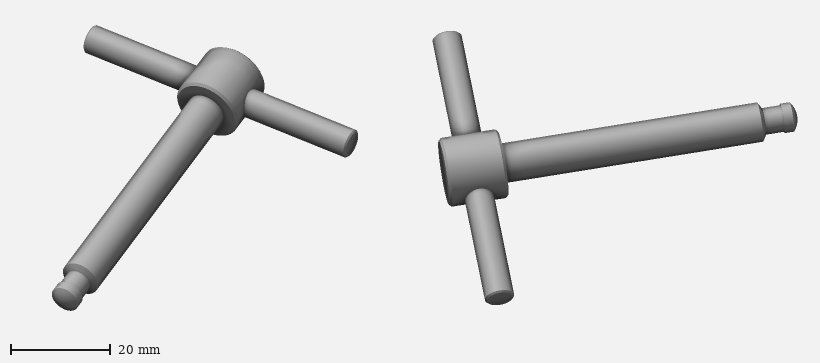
import cadquery as cq

total_length = 72.0
head_diameter = 14.0
head_length = 12.0
head_chamfer = 0.5
shaft_diameter = 8.0
neck_diameter = 5.4
neck_length = 3.75
shaft_end_taper = 0.8
collar_diameter = 6.0
collar_length = 1.95
dome_height = 1.1

handle_length = 60.0
handle_diameter = 6.0
handle_chamfer = 0.35

collar_front = dome_height
collar_back = collar_front + collar_length
neck_back = collar_back + neck_length
shaft_front = neck_back + shaft_end_taper
head_front = total_length - head_length
handle_y = head_front + head_length / 2


def make_spindle():
    """Revolve the stepped half profile about the Y axis."""
    head_radius = head_diameter / 2
    shaft_radius = shaft_diameter / 2
    neck_radius = neck_diameter / 2
    collar_radius = collar_diameter / 2

    dome_radius = (collar_radius**2 + dome_height**2) / (2 * dome_height)
    dome_mid_x = collar_radius / 2
    dome_mid_y = dome_radius - (dome_radius**2 - dome_mid_x**2) ** 0.5

    profile = (
        cq.Workplane("XY")
        .moveTo(0, 0)
        .threePointArc((dome_mid_x, dome_mid_y), (collar_radius, collar_front))
        .lineTo(collar_radius, collar_back)
        .lineTo(neck_radius, collar_back)
        .lineTo(neck_radius, neck_back)
        .lineTo(shaft_radius, shaft_front)
        .lineTo(shaft_radius, head_front)
        .lineTo(head_radius - head_chamfer, head_front)
        .lineTo(head_radius, head_front + head_chamfer)
        .lineTo(head_radius, total_length - head_chamfer)
        .lineTo(head_radius - head_chamfer, total_length)
        .lineTo(0, total_length)
        .close()
    )
    return profile.revolve(360, (0, 0, 0), (0, 1, 0))


def make_handle():
    """Round bar with both ends chamfered."""
    return (
        cq.Workplane("YZ")
        .center(handle_y, 0)
        .circle(handle_diameter / 2)
        .extrude(handle_length / 2, both=True)
        .faces("<X or >X")
        .chamfer(handle_chamfer)
    )


result = make_spindle().union(make_handle())